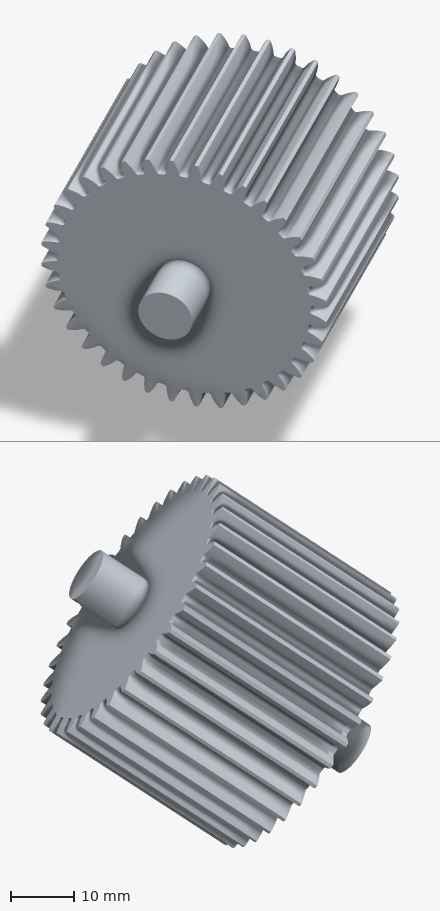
import cadquery as cq
import math

shaft_length = 53.0
shaft_diameter = 9.0
gear_width = 35.0

tooth_count = 36
pressure_angle = math.radians(18)
pitch_radius = 45.0 / 2
tip_radius = 47.75 / 2
root_radius = 42.1 / 2
pitch_tooth_thickness = 1.7
root_fillet = 0.55
flank_steps = 4

tooth_pitch_angle = 2 * math.pi / tooth_count
base_radius = pitch_radius * math.cos(pressure_angle)


def involute_angle(radius):
    """Polar angle an involute has turned through when it reaches the given radius."""
    roll = math.acos(base_radius / radius)
    return math.tan(roll) - roll


def half_tooth_angle(radius):
    """Angle from the tooth centreline to its flank at the given radius."""
    at_pitch = pitch_tooth_thickness / (2 * pitch_radius)
    return at_pitch + involute_angle(pitch_radius) - involute_angle(radius)


def polar(radius, angle):
    """Point at the given radius, with the angle counted from +Z towards +X."""
    return (radius * math.sin(angle), radius * math.cos(angle))


fillet_centre_radius = root_radius + root_fillet
fillet_centre_angle = half_tooth_angle(fillet_centre_radius) + root_fillet / base_radius
flank_start_radius = math.hypot(
    base_radius,
    math.sqrt(fillet_centre_radius**2 - base_radius**2) - root_fillet,
)


def fillet_middle():
    """Middle of the fillet arc of a tooth centred on +Z, as (radius, angle)."""
    centre = polar(fillet_centre_radius, fillet_centre_angle)
    root_end = polar(root_radius, fillet_centre_angle)
    flank_end = polar(flank_start_radius, half_tooth_angle(flank_start_radius))
    toward_x = (root_end[0] + flank_end[0]) / 2 - centre[0]
    toward_z = (root_end[1] + flank_end[1]) / 2 - centre[1]
    reach = root_fillet / math.hypot(toward_x, toward_z)
    x = centre[0] + reach * toward_x
    z = centre[1] + reach * toward_z
    return math.hypot(x, z), math.atan2(x, z)


def flank_radii():
    """Evenly spaced radii from the root fillet up to the tip."""
    step = (tip_radius - flank_start_radius) / flank_steps
    return [flank_start_radius + i * step for i in range(flank_steps + 1)]


def add_tooth(outline, centre_angle):
    """Add one tooth and the root land after it to an outline that ends at its first fillet."""
    middle_radius, middle_angle = fillet_middle()
    radii = flank_radii()
    rising = [polar(r, centre_angle - half_tooth_angle(r)) for r in radii]
    falling = [polar(r, centre_angle + half_tooth_angle(r)) for r in reversed(radii)]
    root_end = polar(root_radius, centre_angle + fillet_centre_angle)
    root_middle = polar(root_radius, centre_angle + tooth_pitch_angle / 2)
    next_start = polar(root_radius, centre_angle + tooth_pitch_angle - fillet_centre_angle)

    outline = outline.threePointArc(polar(middle_radius, centre_angle - middle_angle), rising[0])
    outline = outline.spline(rising[1:], includeCurrent=True)
    outline = outline.threePointArc(polar(tip_radius, centre_angle), falling[0])
    outline = outline.spline(falling[1:], includeCurrent=True)
    outline = outline.threePointArc(polar(middle_radius, centre_angle + middle_angle), root_end)
    return outline.threePointArc(root_middle, next_start)


def make_gear():
    """Toothed body centred on the origin, with a tooth gap facing +Z."""
    first_tooth_angle = tooth_pitch_angle / 2
    start = polar(root_radius, first_tooth_angle - fillet_centre_angle)
    outline = cq.Workplane("XZ", origin=(0, gear_width / 2, 0)).moveTo(*start)
    for i in range(tooth_count):
        outline = add_tooth(outline, first_tooth_angle + i * tooth_pitch_angle)
    return outline.close().extrude(gear_width)


def make_shaft():
    """Round shaft through the gear, sticking out equally at both ends."""
    end_plane = cq.Workplane("XZ", origin=(0, shaft_length / 2, 0))
    return end_plane.circle(shaft_diameter / 2).extrude(shaft_length)


result = make_gear().union(make_shaft()).solids()